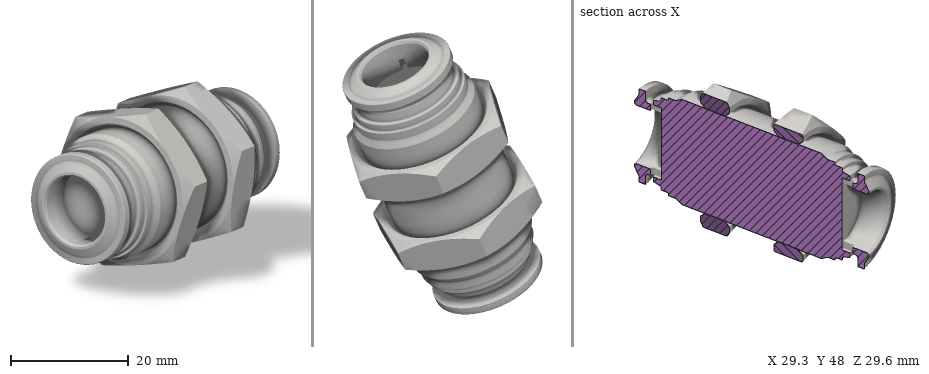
import cadquery as cq
import math


half_length = 24.0
flange_front = 23.05
flange_back = 21.6
cap_front = 20.05
ring_front = 18.55
ring_fillet_start = 17.3
shoulder_front = 17.05
shoulder_back = 15.5
barrel_end = 14.25

lip_radius = 6.75
flange_cone_radius = 8.5
flange_radius = 9.75
neck_radius = 7.45
cap_front_radius = 8.5
cap_back_radius = 8.95
ring_radius = 9.65
shoulder_radius = 10.2
barrel_radius = 11.0

rim_fillet = 0.25
neck_fillet = 0.55
ring_fillet = ring_fillet_start - shoulder_front

bore_radius = 6.05
bore_floor = 18.5
mouth_radius = 6.35
mouth_depth = 0.5

slot_width = 1.05
slot_outer_end = 20.6

nut_across_flats = 25.95
nut_thickness = 6.0
nut_center = 7.5
nut_face_radius = nut_across_flats / 2
nut_chamfer_angle = 30.0
nut_bore_chamfer = 0.85
front_nut_turn = 12.2
rear_nut_turn = 21.4


def revolve_about_y(profile):
    """Turn a profile drawn as (radius, Y) in the XY plane into a solid of revolution."""
    return profile.close().revolve(360, (0, 0, 0), (0, 1, 0))


def make_fitting_end():
    """The +Y end of the fitting beyond the barrel: steps, neck and flanged release collar."""
    arc_inset_ratio = 1 - math.sqrt(0.5)
    rim_inset = rim_fillet * arc_inset_ratio
    ring_inset = ring_fillet * arc_inset_ratio
    neck_inset = neck_fillet * arc_inset_ratio
    outline = (
        cq.Workplane("XY")
        .moveTo(0, barrel_end)
        .lineTo(barrel_radius, barrel_end)
        .lineTo(shoulder_radius, shoulder_back)
        .lineTo(shoulder_radius, shoulder_front)
        .lineTo(ring_radius + ring_fillet, shoulder_front)
        .threePointArc(
            (ring_radius + ring_inset, shoulder_front + ring_inset),
            (ring_radius, ring_fillet_start),
        )
        .lineTo(ring_radius, ring_front - rim_fillet)
        .threePointArc(
            (ring_radius - rim_inset, ring_front - rim_inset),
            (ring_radius - rim_fillet, ring_front),
        )
        .lineTo(cap_back_radius, ring_front)
        .lineTo(cap_front_radius, cap_front)
        .lineTo(neck_radius, cap_front)
        .lineTo(neck_radius, flange_back - neck_fillet)
        .threePointArc(
            (neck_radius + neck_inset, flange_back - neck_inset),
            (neck_radius + neck_fillet, flange_back),
        )
        .lineTo(flange_radius, flange_back)
        .lineTo(flange_radius, flange_front - rim_fillet)
        .threePointArc(
            (flange_radius - rim_inset, flange_front - rim_inset),
            (flange_radius - rim_fillet, flange_front),
        )
        .lineTo(flange_cone_radius, flange_front)
        .lineTo(lip_radius, half_length)
        .lineTo(mouth_radius, half_length)
        .lineTo(bore_radius, half_length - mouth_depth)
        .lineTo(bore_radius, bore_floor)
        .lineTo(0, bore_floor)
    )
    slot_length = slot_outer_end - bore_floor
    slot = cq.Workplane("XY").box(slot_width, slot_length, 2 * neck_radius)
    slot = slot.translate((0, bore_floor + slot_length / 2, 0))
    return revolve_about_y(outline).cut(slot)


def make_fitting():
    barrel = cq.Workplane("XZ", origin=(0, barrel_end, 0)).circle(barrel_radius).extrude(2 * barrel_end)
    end = make_fitting_end()
    return barrel.union(end).union(end.mirror("XZ"))


def make_nut(center_y, turn):
    """A hexagon nut on the barrel, chamfered on its corners and at both ends of its bore."""
    corner_radius = nut_across_flats / math.sqrt(3)
    half_thickness = nut_thickness / 2
    corner_drop = (corner_radius - nut_face_radius) * math.tan(math.radians(nut_chamfer_angle))

    hexagon = (
        cq.Workplane("XZ")
        .polygon(6, 2 * corner_radius)
        .extrude(half_thickness, both=True)
    )
    turned_blank = revolve_about_y(
        cq.Workplane("XY")
        .moveTo(barrel_radius + nut_bore_chamfer, -half_thickness)
        .lineTo(nut_face_radius, -half_thickness)
        .lineTo(corner_radius, corner_drop - half_thickness)
        .lineTo(corner_radius, half_thickness - corner_drop)
        .lineTo(nut_face_radius, half_thickness)
        .lineTo(barrel_radius + nut_bore_chamfer, half_thickness)
        .lineTo(barrel_radius, half_thickness - nut_bore_chamfer)
        .lineTo(barrel_radius, nut_bore_chamfer - half_thickness)
    )
    nut = hexagon.intersect(turned_blank)
    return nut.rotate((0, 0, 0), (0, 1, 0), -turn).translate((0, center_y, 0))


fitting = make_fitting()
nut_places = [(-nut_center, front_nut_turn), (nut_center, rear_nut_turn)]
nuts = [make_nut(center_y, turn) for center_y, turn in nut_places]

result = cq.Compound.makeCompound([fitting.val(), *[nut.val() for nut in nuts]])